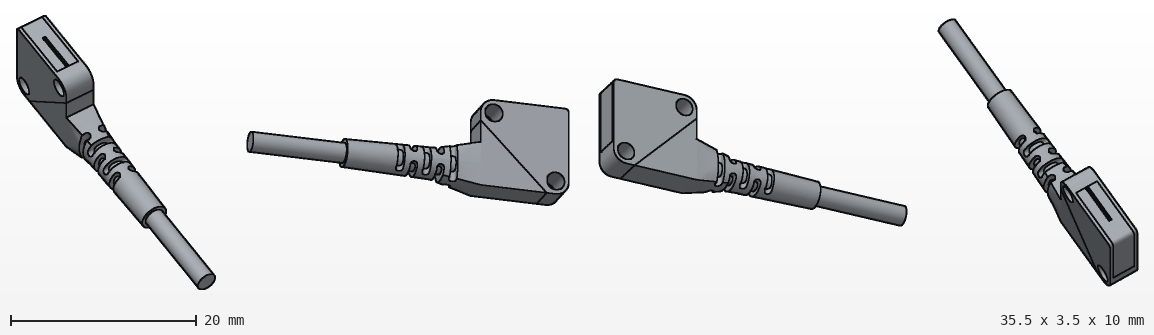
import cadquery as cq

HEAD_SIDE = 10.0
HEAD_DEPTH = 3.5
HOLE_INSET = 1.5
HOLE_RADIUS = 1.0
SMALL_ROUND = 0.45
SPLIT_LEG = 7.45

WINDOW_LENGTH = 7.5
WINDOW_WIDTH = 2.65
WINDOW_THICKNESS = 0.5
WINDOW_INNER_Z = HEAD_SIDE - WINDOW_THICKNESS

SLOT_WIDTH = 0.32
SLOT_START = 2.75
SLOT_END = 7.4
POCKET_WALL_TOP = 3.45
POCKET_WALL_FOOT = 3.55
POCKET_RAMP_FOOT = 4.5
POCKET_RAMP_TOP = 7.0
POCKET_FLOOR_FALL = 0.07

CABLE_AXIS_Z = 2.5
CABLE_RADIUS = 1.1
CABLE_END = 35.55
BOOT_ROOT_HEIGHT = 2 * CABLE_AXIS_Z
BOOT_NECK_X = 15.0
BOOT_NECK_RADIUS = 1.75
BOOT_END_X = 25.0
BOOT_END_RADIUS = 1.53

NOTCH_WIDTH = 0.8
NOTCH_FIRST_X = 12.98
NOTCH_PITCH = 1.5
NOTCH_COUNT = 5
NOTCH_WEB = 1.17
NOTCH_REACH = 2.85


def along_y(outline, width):
    """Extrude an XZ outline symmetrically about the plane Y = 0."""
    return outline.extrude(width / 2, both=True)


def xz_polygon(points, width):
    """A prism of XZ corner points, centred on Y = 0."""
    return along_y(cq.Workplane("XZ").polyline(points).close(), width)


def make_head():
    """The whole block, before it is split into housing, window and corner wedge."""
    head = along_y(cq.Workplane("XZ").rect(HEAD_SIDE, HEAD_SIDE, centered=False), HEAD_DEPTH)
    head = head.edges("|Y and >X and >Z").fillet(HOLE_INSET)
    head = head.edges("|Y and <X and <Z").fillet(HOLE_INSET)
    head = head.edges("|Y and <X and >Z").fillet(SMALL_ROUND)
    far = HEAD_SIDE - HOLE_INSET
    holes = cq.Workplane("XZ").pushPoints([(HOLE_INSET, HOLE_INSET), (far, far)]).circle(HOLE_RADIUS)
    return head.cut(along_y(holes, HEAD_DEPTH))


def make_corner_wedge():
    """Triangular corner of the block, which carries the strain relief."""
    return xz_polygon(
        [(HEAD_SIDE - SPLIT_LEG, 0), (HEAD_SIDE, 0), (HEAD_SIDE, SPLIT_LEG)],
        HEAD_DEPTH,
    )


def make_window_envelope():
    """L-shaped region of the block taken up by the window, with a sharp outer corner."""
    bottom = HEAD_SIDE - WINDOW_LENGTH
    return xz_polygon(
        [
            (0, bottom),
            (0, HEAD_SIDE),
            (WINDOW_LENGTH, HEAD_SIDE),
            (WINDOW_LENGTH, WINDOW_INNER_Z),
            (WINDOW_THICKNESS, WINDOW_INNER_Z),
            (WINDOW_THICKNESS, bottom),
        ],
        WINDOW_WIDTH,
    )


def make_window_slot():
    return xz_polygon(
        [
            (SLOT_START, WINDOW_INNER_Z),
            (SLOT_END, WINDOW_INNER_Z),
            (SLOT_END, HEAD_SIDE),
            (SLOT_START, HEAD_SIDE),
        ],
        SLOT_WIDTH,
    )


def make_pocket():
    """Pocket with one steep wall, a nearly flat floor and a 45 degree ramp."""
    top = WINDOW_INNER_Z
    floor = top - (POCKET_RAMP_TOP - POCKET_RAMP_FOOT)
    return xz_polygon(
        [
            (POCKET_WALL_TOP, top),
            (POCKET_WALL_FOOT, floor + POCKET_FLOOR_FALL),
            (POCKET_RAMP_FOOT, floor),
            (POCKET_RAMP_TOP, top),
        ],
        SLOT_WIDTH,
    )


def make_cable():
    return (
        cq.Workplane("YZ", origin=(HEAD_SIDE, 0, CABLE_AXIS_Z))
        .circle(CABLE_RADIUS)
        .extrude(CABLE_END - HEAD_SIDE)
    )


def make_boot_blank():
    """Rectangle at the head, blending straight into a slightly tapered round sleeve."""
    root = cq.Workplane("YZ", origin=(HEAD_SIDE, 0, CABLE_AXIS_Z))
    return (
        root.rect(HEAD_DEPTH, BOOT_ROOT_HEIGHT)
        .workplane(offset=BOOT_NECK_X - HEAD_SIDE)
        .circle(BOOT_NECK_RADIUS)
        .workplane(offset=BOOT_END_X - BOOT_NECK_X)
        .circle(BOOT_END_RADIUS)
        .loft(ruled=True)
    )


def make_notch_pair(x):
    """Two opposite notches, entering from -Y and +Y."""
    bottom = NOTCH_WEB / 2
    radius = NOTCH_WIDTH / 2
    profile = (
        cq.Workplane("XY", origin=(x, 0, CABLE_AXIS_Z))
        .moveTo(-radius, NOTCH_REACH)
        .lineTo(-radius, bottom + radius)
        .threePointArc((0, bottom), (radius, bottom + radius))
        .lineTo(radius, NOTCH_REACH)
        .close()
    )
    notch = profile.extrude(NOTCH_REACH, both=True)
    return notch.union(notch.mirror("XZ"))


def make_boot(wedge, cable):
    """Corner wedge and notched sleeve in one piece, bored for the cable."""
    sleeve = make_boot_blank()
    axis_start = (0, 0, CABLE_AXIS_Z)
    axis_end = (1, 0, CABLE_AXIS_Z)
    for i in range(NOTCH_COUNT):
        notches = make_notch_pair(NOTCH_FIRST_X + i * NOTCH_PITCH)
        if i % 2:
            notches = notches.rotate(axis_start, axis_end, 90)
        sleeve = sleeve.cut(notches)
    return wedge.union(sleeve.cut(cable))


head = make_head()
wedge = make_corner_wedge()
window_envelope = make_window_envelope()

housing = head.cut(wedge).cut(window_envelope).cut(make_pocket())
window = head.intersect(window_envelope).cut(make_window_slot())
cable = make_cable()
boot = make_boot(wedge, cable)

result = cq.Compound.makeCompound([housing.val(), window.val(), boot.val(), cable.val()])